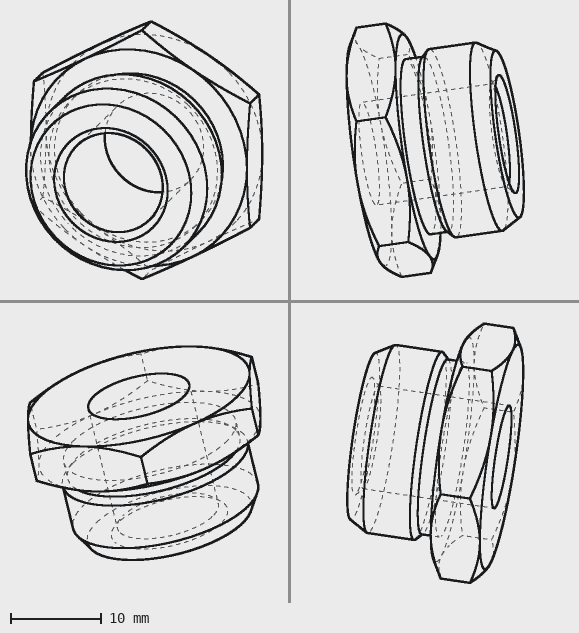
import cadquery as cq
import math

across_corners = 28.87
total_length = 15.5
hex_thickness = 5.5
neck_diameter = 19.5
neck_length = 2.0
body_diameter = 20.95
tip_diameter = 18.6
bore_diameter = 11.43
bore_mouth_diameter = 13.15
edge_angle = math.radians(30)

corner_radius = across_corners / 2
across_flats = across_corners * math.cos(math.radians(30))
flat_radius = across_flats / 2
corner_drop = (corner_radius - flat_radius) * math.tan(edge_angle)
shank_length = total_length - hex_thickness
neck_radius = neck_diameter / 2
body_radius = body_diameter / 2
tip_radius = tip_diameter / 2
shoulder_length = body_radius - neck_radius
tip_length = (body_radius - tip_radius) / math.tan(edge_angle)
bore_radius = bore_diameter / 2
bore_mouth_radius = bore_mouth_diameter / 2
bore_mouth_depth = bore_mouth_radius - bore_radius


def revolve_about_y(points):
    """Turn an outline of (radius, y) points around the Y axis."""
    return cq.Workplane("XY").polyline(points).close().revolve(360, (0, 0, 0), (0, 1, 0))


def make_hex_head():
    """Hexagon with corners on Z, coned at both faces down to the flats."""
    corners = []
    for i in range(6):
        angle = math.radians(90 + 60 * i)
        corners.append((corner_radius * math.cos(angle), corner_radius * math.sin(angle)))
    prism = cq.Workplane("XZ").polyline(corners).close().extrude(-hex_thickness)
    envelope = revolve_about_y([
        (0, 0),
        (flat_radius, 0),
        (corner_radius, corner_drop),
        (corner_radius, hex_thickness - corner_drop),
        (flat_radius, hex_thickness),
        (0, hex_thickness),
    ])
    return prism.intersect(envelope)


def make_shank():
    """Undercut neck, 45 degree shoulder, cylindrical body and tapered tip."""
    return revolve_about_y([
        (0, 0),
        (neck_radius, 0),
        (neck_radius, -neck_length),
        (body_radius, -neck_length - shoulder_length),
        (body_radius, -shank_length + tip_length),
        (tip_radius, -shank_length),
        (0, -shank_length),
    ])


def make_bore():
    """Through bore, countersunk at the tip."""
    return revolve_about_y([
        (0, -shank_length),
        (bore_mouth_radius, -shank_length),
        (bore_radius, -shank_length + bore_mouth_depth),
        (bore_radius, hex_thickness),
        (0, hex_thickness),
    ])


result = make_hex_head().union(make_shank()).cut(make_bore())